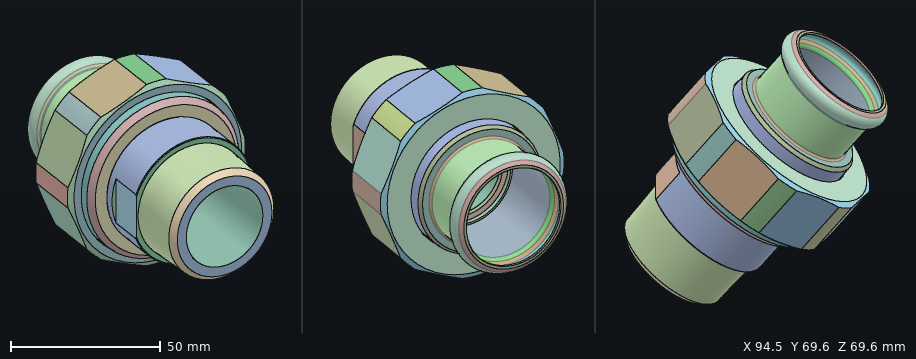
import cadquery as cq
import math

length = 94.5
through_bore_dia = 30.0

tube_dia = 38.4
socket_dia = 35.4
mouth_dia = 35.8
seat_dia = 34.0
seat_depth = 1.9
end_wall = 1.9
bead_dia = 43.7
bead_x = 3.7
bead_half_width = 2.7
crest_edge_dia = 40.6
lip_dia = 37.8
bead_slope_end_x = 7.0
bead_slope_end_dia = 38.7
bead_end_x = 7.5
bead_fillet_r = 0.7

groove_dia = 40.8
groove_half_width = 1.3
groove_edge_dia = 39.5
mouth_depth = 0.9
knee_x = 5.9
knee_dia = 37.1
knee_r = 2.1

collar_x = 22.9
collar_dia = 47.0
collar_chamfer_x = 1.3
collar_chamfer_r = 1.0
fillet_r = 0.8
shoulder_dia = 54.5
shoulder_width = 4.7

nut_x = 28.6
nut_end_x = 51.2
nut_corner_dia = 69.6
nut_flat_width = 66.9
nut_sides = 8
nut_face_dia = 65.6
nut_chamfer_x = 0.9
nut_lip_width = 4.7
nut_lip_bore_dia = 47.5
nut_thread_dia = 56.7
nut_recess_dia = 60.0
nut_recess_depth = 2.8

shoulder_x = nut_x + nut_lip_width
joint_x = shoulder_x + shoulder_width
seat_end_x = joint_x - end_wall
socket_end_x = seat_end_x - seat_depth
recess_x = nut_end_x - nut_recess_depth

flange_dia = 59.5
flange_end_x = 56.5
flange_chamfer = 2.1
barrel_dia = 47.0
barrel_end_x = 73.6
barrel_root_chamfer = 0.5
barrel_chamfer = 0.3
wrench_flat_x = 60.4
wrench_flat_width = 43.85
taper_large_dia = 42.5
taper_small_dia = 41.2
tip_chamfer = 2.1


def revolve_about_x(profile):
    return profile.close().revolve(360, (0, 0, 0), (1, 0, 0))


def make_press_tailpiece():
    crest_start_x = bead_x - bead_half_width
    crest_end_x = bead_x + bead_half_width
    outline = (
        cq.Workplane("XY")
        .moveTo(0, mouth_dia / 2)
        .lineTo(0, lip_dia / 2)
        .lineTo(crest_start_x, crest_edge_dia / 2)
        .threePointArc((bead_x, bead_dia / 2), (crest_end_x, crest_edge_dia / 2))
        .lineTo(bead_slope_end_x, bead_slope_end_dia / 2)
        .radiusArc((bead_end_x, tube_dia / 2), -bead_fillet_r)
        .lineTo(collar_x - fillet_r, tube_dia / 2)
        .radiusArc((collar_x, tube_dia / 2 + fillet_r), -fillet_r)
        .lineTo(collar_x, collar_dia / 2 - collar_chamfer_r)
        .lineTo(collar_x + collar_chamfer_x, collar_dia / 2)
        .lineTo(shoulder_x, collar_dia / 2)
        .lineTo(shoulder_x, shoulder_dia / 2)
        .lineTo(joint_x, shoulder_dia / 2)
        .lineTo(joint_x, through_bore_dia / 2)
        .lineTo(seat_end_x, through_bore_dia / 2)
        .lineTo(seat_end_x, seat_dia / 2)
        .lineTo(socket_end_x, seat_dia / 2)
        .lineTo(socket_end_x, socket_dia / 2)
        .lineTo(bead_end_x, socket_dia / 2)
        .radiusArc((knee_x, knee_dia / 2), knee_r)
        .lineTo(bead_x + groove_half_width, groove_edge_dia / 2)
        .threePointArc((bead_x, groove_dia / 2), (bead_x - groove_half_width, groove_edge_dia / 2))
        .lineTo(mouth_depth, mouth_dia / 2)
    )
    return revolve_about_x(outline)


def make_nut():
    octagon_dia = nut_flat_width / math.cos(math.pi / nut_sides)
    octagon = (
        cq.Workplane("YZ", origin=(nut_x, 0, 0))
        .polygon(nut_sides, octagon_dia)
        .extrude(nut_end_x - nut_x)
    )
    blank = revolve_about_x(
        cq.Workplane("XY")
        .moveTo(nut_x, nut_lip_bore_dia / 2)
        .lineTo(nut_x, nut_face_dia / 2)
        .lineTo(nut_x + nut_chamfer_x, nut_corner_dia / 2)
        .lineTo(nut_end_x - nut_chamfer_x, nut_corner_dia / 2)
        .lineTo(nut_end_x, nut_face_dia / 2)
        .lineTo(nut_end_x, nut_recess_dia / 2)
        .lineTo(recess_x, nut_recess_dia / 2)
        .lineTo(recess_x, nut_thread_dia / 2)
        .lineTo(shoulder_x, nut_thread_dia / 2)
        .lineTo(shoulder_x, nut_lip_bore_dia / 2)
    )
    return blank.intersect(octagon)


def make_threaded_tailpiece():
    root_r = barrel_dia / 2 - barrel_root_chamfer
    body = revolve_about_x(
        cq.Workplane("XY")
        .moveTo(joint_x, through_bore_dia / 2)
        .lineTo(joint_x, nut_thread_dia / 2)
        .lineTo(recess_x, nut_thread_dia / 2)
        .lineTo(recess_x, flange_dia / 2)
        .lineTo(flange_end_x - flange_chamfer, flange_dia / 2)
        .lineTo(flange_end_x, flange_dia / 2 - flange_chamfer)
        .lineTo(flange_end_x, root_r)
        .lineTo(flange_end_x + barrel_root_chamfer, barrel_dia / 2)
        .lineTo(barrel_end_x - barrel_chamfer, barrel_dia / 2)
        .lineTo(barrel_end_x, barrel_dia / 2 - barrel_chamfer)
        .lineTo(barrel_end_x, taper_large_dia / 2)
        .lineTo(length - tip_chamfer, taper_small_dia / 2)
        .lineTo(length, taper_small_dia / 2 - tip_chamfer)
        .lineTo(length, through_bore_dia / 2)
    )
    flat_length = barrel_end_x - wrench_flat_x
    for side in (-1, 1):
        cutter = cq.Workplane("XY").box(flat_length, barrel_dia, barrel_dia, centered=(False, True, True))
        offset_y = side * (wrench_flat_width + barrel_dia) / 2
        body = body.cut(cutter.translate((wrench_flat_x, offset_y, 0)))
    return body


press_tailpiece = make_press_tailpiece()
nut = make_nut()
threaded_tailpiece = make_threaded_tailpiece()

result = cq.Compound.makeCompound([press_tailpiece.val(), nut.val(), threaded_tailpiece.val()])